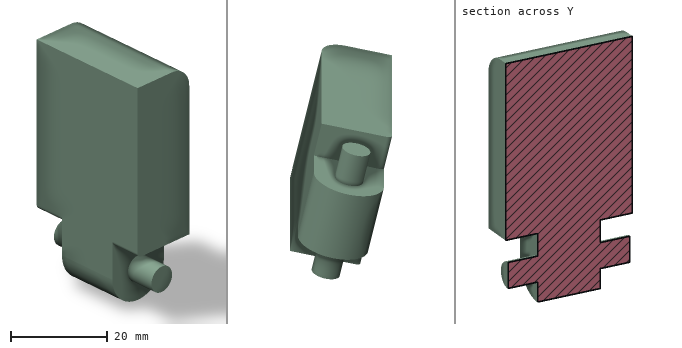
import cadquery as cq

total_height = 55.5
body_width = 30.0
thickness = 15.0
body_height = 40.0
top_round = 5.0
shoulder_round = 1.0
tongue_width = 15.0
pin_diameter = 6.0
pin_length = 29.0

tongue_radius = thickness / 2
pin_height = tongue_radius
body_bottom = total_height - body_height


def make_body():
    """Block with a rounded top back edge and a rounded bottom front edge."""
    block = cq.Workplane("XY").workplane(offset=body_bottom).box(
        body_width, thickness, body_height, centered=(True, True, False)
    )
    block = block.faces(">Z").edges(">Y").fillet(top_round)
    return block.faces("<Z").edges("<Y").fillet(shoulder_round)


def make_tongue():
    """Hinge tongue that overlaps the body past the shoulder rounding."""
    tongue_top = body_bottom + 2 * shoulder_round
    return (
        cq.Workplane("YZ")
        .moveTo(-tongue_radius, tongue_top)
        .lineTo(-tongue_radius, pin_height)
        .threePointArc((0, 0), (tongue_radius, pin_height))
        .lineTo(tongue_radius, tongue_top)
        .close()
        .extrude(tongue_width / 2, both=True)
    )


def make_pin():
    """Hinge pin through the tongue, along X."""
    return (
        cq.Workplane("YZ")
        .center(0, pin_height)
        .circle(pin_diameter / 2)
        .extrude(pin_length / 2, both=True)
    )


result = make_body().union(make_tongue()).union(make_pin()).clean()